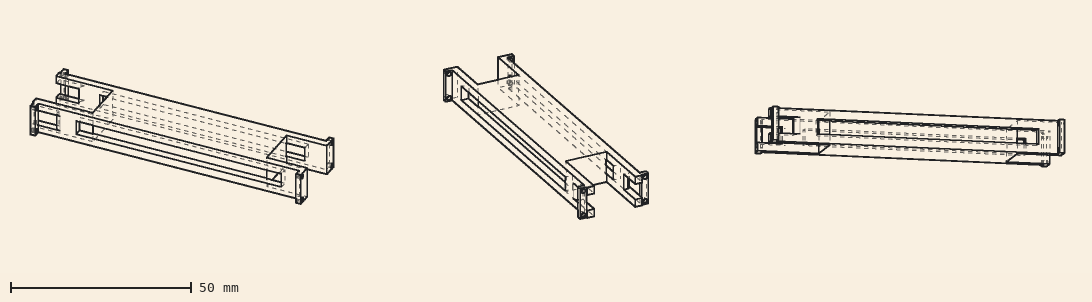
import cadquery as cq
import math

length = 83.37
width = 21.23
height = 9.38
left_end = -length / 2
right_end = length / 2

rail_thickness = 2.25
flange_reach = 2.0
rail_outer_y = width / 2 - flange_reach
rail_inner_y = rail_outer_y - rail_thickness
back_rail_shortfall = 0.1
block_start = left_end + 17.4
block_length = 53.5

flange_thickness = 1.45
left_flange_setback = 0.32
flange_hole_diameter = 1.2
flange_hole_edge_distance = 1.0

slot_start = left_end + 13.4
slot_length = 63.0
slot_height = 4.3
slot_depth = rail_thickness + 0.15

window_height = 4.75
wall_radius = 1.5
back_wall_start = left_end + 6.8
front_wall_start = left_end + 6.9
front_wall_round_end = left_end + 8.3
front_wall_flat_width = 1.2


def box(x_start, x_end, y_one, y_two, z_size):
    """Box between two X and two Y limits, centred on Z = 0."""
    block = cq.Workplane("XY").box(x_end - x_start, abs(y_two - y_one), z_size)
    return block.translate(((x_start + x_end) / 2, (y_one + y_two) / 2, 0))


def rail(side, rail_end):
    """Rail with its two end flanges; side is -1 for the front rail, 1 for the back rail."""
    outer_y = side * rail_outer_y
    tip_y = side * width / 2
    body = box(left_end, rail_end, side * rail_inner_y, outer_y, height)
    left_flange_start = left_end + left_flange_setback
    left_flange = box(left_flange_start, left_flange_start + flange_thickness, outer_y, tip_y, height)
    right_flange = box(right_end - flange_thickness, rail_end, outer_y, tip_y, height)
    return body.union(left_flange).union(right_flange)


def rail_slot(side):
    """Long rectangular slot entering from the outer face of a rail."""
    outer_y = side * rail_outer_y
    floor_y = side * (rail_outer_y - slot_depth)
    return box(slot_start, slot_start + slot_length, outer_y, floor_y, slot_height)


def window_base():
    """Workplane at the bottom of the windows."""
    return cq.Workplane("XY").workplane(offset=-window_height / 2)


def front_window():
    """Window whose wall is flat near the inner face and rounded towards the outer face."""
    round_start_y = -rail_inner_y - front_wall_flat_width
    return (
        window_base()
        .moveTo(left_end, -rail_inner_y)
        .lineTo(front_wall_start, -rail_inner_y)
        .lineTo(front_wall_start, round_start_y)
        .radiusArc((front_wall_round_end, -rail_outer_y), -wall_radius)
        .lineTo(left_end, -rail_outer_y)
        .close()
        .extrude(window_height)
    )


def back_window():
    """Window whose wall is one convex arc, tangent to the rail's outer face."""
    centre_x = back_wall_start + wall_radius
    centre_y = rail_outer_y - wall_radius
    inner_drop = centre_y - rail_inner_y
    inner_x = centre_x - math.sqrt(wall_radius**2 - inner_drop**2)
    return (
        window_base()
        .moveTo(left_end, rail_inner_y)
        .lineTo(inner_x, rail_inner_y)
        .threePointArc((back_wall_start, centre_y), (centre_x, rail_outer_y))
        .lineTo(left_end, rail_outer_y)
        .close()
        .extrude(window_height)
    )


def flange_holes():
    """Four holes along X, each passing through a left and a right flange."""
    return (
        cq.Workplane("YZ")
        .workplane(offset=left_end)
        .rect(
            width - 2 * flange_hole_edge_distance,
            height - 2 * flange_hole_edge_distance,
            forConstruction=True,
        )
        .vertices()
        .circle(flange_hole_diameter / 2)
        .extrude(length)
    )


result = box(block_start, block_start + block_length, -rail_outer_y, rail_outer_y, height)
result = result.union(rail(-1, right_end))
result = result.union(rail(1, right_end - back_rail_shortfall))
for rail_side in (-1, 1):
    result = result.cut(rail_slot(rail_side))
result = result.cut(front_window()).cut(back_window()).cut(flange_holes())